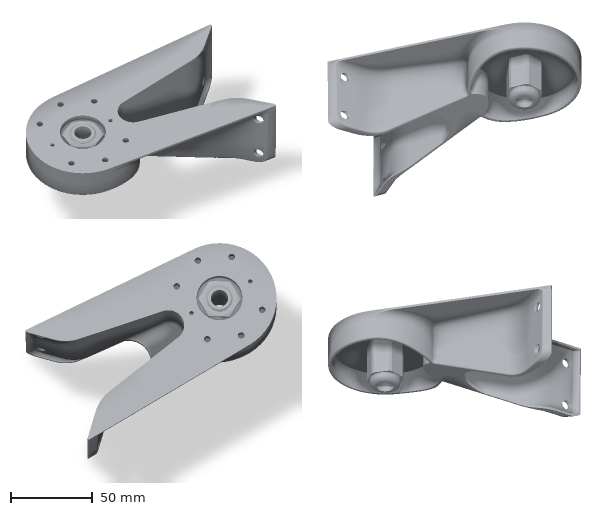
import cadquery as cq
import math

tip_half_width = 39.95
tip_y = 113.8
disc_radius = 35.0
disc_height = 19.6
total_height = 50.0
side_draft = 0.8
beyond = 29.8
far_out = 595.2

wall = 2.0
mount_wall = 4.6
mount_recess = 3.0
end_rib = 1.5
flange = 1.5
flange_fillet = 2.7
flange_root = flange + flange_fillet
plate = 6.0
bottom_fillet = 0.9
end_corner_fillet = 6.0
end_edge_fillet = 0.7
neck_fillet = 1.5
hollow_corner_fillet = 2.2

notch_radius = 9.7
notch_centre_y = 35.9
notch_lean = math.radians(10.1)
notch_flare_radius = 26.0
wall_flare_radius = 25.3
mount_line_y = 75.3

slope = math.radians(21.8)
slope_start_y = 10.9
slope_start_radius = 68.5
slope_end_radius = 29.8
web_edge_radius = 15.3
web_edge_y = 65.5
floor_fillet = 1.8

screw_diameter = 4.0
screw_circle_radius = 27.2
screw_angles = (0, 45, 135, 180, 225, 315)
pin_diameter = 2.7
pin_places_y = (-21.6, 19.6)
blind_depth = 4.5
mount_hole_width = 4.6
mount_hole_height = 6.1
mount_hole_x = 35.1
mount_hole_depths = (11.6, 41.4)

recess_diameter = 28.1
recess_depth = 3.4
bore_diameter = 10.5
tube_diameter = 16.0
tube_top = -0.5
tube_chamfer = 0.97
nut_flats = 22.5
nut_top = -1.6
nut_face_diameter = 21.3
nut_chamfer_height = 0.7
cap_flats = 20.5
cap_round_diameter = 22.6
cap_bottom = -29.3
dome_diameter = 19.0
dome_bottom = -34.4
dome_fillet = 3.4


def nearest(point):
    return cq.selectors.NearestToPointSelector(point)


def in_box(corner, opposite):
    return cq.selectors.BoxSelector(corner, opposite)


def everything_below(level):
    """Wide block below a level."""
    block = cq.Workplane("XY").rect(far_out, far_out).extrude(-total_height)
    return block.translate((0, 0, level))


def everything_behind(y):
    """Wide block on the +Y side of a place along Y."""
    block = cq.Workplane("XY").rect(far_out, far_out).extrude(-total_height)
    return block.translate((0, y + far_out / 2, 0))


def rod(diameter, bottom, top):
    """Upright cylinder on the disc axis."""
    return cq.Workplane("XY", origin=(0, 0, bottom)).circle(diameter / 2).extrude(top - bottom)


def hexagon(flats, bottom, top):
    """Upright hexagonal prism on the disc axis, with corners at +X and -X."""
    corner_diameter = flats / math.cos(math.pi / 6)
    return cq.Workplane("XY", origin=(0, 0, bottom)).polygon(6, corner_diameter).extrude(top - bottom)


def plan_outline(end_y):
    """Closed top outline: two straight sides tangent to the disc, cut off at end_y."""
    tip_angle = math.atan2(tip_y, tip_half_width)
    touch_angle = tip_angle - math.acos(disc_radius / math.hypot(tip_half_width, tip_y))
    touch_x = disc_radius * math.cos(touch_angle)
    touch_y = disc_radius * math.sin(touch_angle)
    end_x = touch_x + (end_y - touch_y) * (tip_half_width - touch_x) / (tip_y - touch_y)
    return (
        cq.Workplane("XY")
        .moveTo(-end_x, end_y)
        .lineTo(-touch_x, touch_y)
        .threePointArc((0, -disc_radius), (touch_x, touch_y))
        .lineTo(end_x, end_y)
        .close()
    )


def drafted_block(inset):
    """Drafted prism of the plan, inset all round, with rounded lower side edges, running past the tips."""
    outline = plan_outline(tip_y + beyond)
    if inset > 0:
        outline = outline.offset2D(-inset)
    block = outline.extrude(inset - total_height, taper=side_draft)
    side_edges = in_box((-far_out, 0, -total_height - 1.5), (far_out, tip_y, 0))
    return block.edges("<Z").edges("%LINE").edges(side_edges).fillet(end_corner_fillet - inset)


def flared_vee(side_offset, mount_offset, flare_radius):
    """Upright prism of the notch, grown by one offset on its sides and another on its 45 degree ends."""
    radius = notch_radius + side_offset
    apex_y = notch_centre_y - radius / math.sin(notch_lean)
    line_y = mount_line_y - mount_offset * math.sqrt(2)
    corner_y = (line_y - apex_y * math.tan(notch_lean)) / (1 - math.tan(notch_lean))
    corner_x = corner_y - line_y
    end_y = tip_y + beyond
    end_x = end_y - line_y
    right_side = [(corner_x, corner_y), (end_x, end_y)]
    left_side = [(-x, y) for x, y in reversed(right_side)]
    prism = (
        cq.Workplane("XY")
        .polyline([(0, apex_y)] + right_side + left_side)
        .close()
        .extrude(-total_height)
    )
    prism = prism.edges("|Z").edges("<Y").fillet(radius)
    flare_edges = in_box(
        (-corner_x - 1.5, corner_y - 1.5, -total_height),
        (corner_x + 1.5, corner_y + 1.5, 0),
    )
    return prism.edges("|Z").edges(flare_edges).fillet(flare_radius)


def above_underside(lift):
    """Everything above the sloping underside, raised by a vertical distance."""
    far = tip_y + beyond
    slope_end_y = slope_start_y + (total_height - disc_height) / math.tan(slope)
    high = lift - disc_height
    low = lift - total_height
    prism = (
        cq.Workplane("YZ")
        .polyline([(-far, 0), (-far, high), (slope_start_y, high), (slope_end_y, low), (far, low), (far, 0)])
        .close()
        .extrude(far, both=True)
    )
    prism = prism.edges("|X").edges(nearest((0, slope_start_y, high))).fillet(slope_start_radius)
    return prism.edges("|X").edges(nearest((0, slope_end_y, low))).fillet(slope_end_radius)


def outer_body():
    """Disc and arms as one filled block, with the flange overhanging its walls."""
    disc = cq.Workplane("XY").circle(disc_radius).extrude(-total_height)
    body = disc.union(flared_vee(wall, mount_wall, wall_flare_radius)).clean()
    neck = in_box((-disc_radius / 2, 0, -total_height), (disc_radius / 2, notch_centre_y, 0))
    body = body.edges("|Z").edges(neck).fillet(neck_fillet)
    body = body.intersect(above_underside(0))
    body = body.faces("<Z").edges("<X or >X").fillet(bottom_fillet)

    slab = cq.Workplane("XY").rect(far_out, far_out).extrude(-flange)
    inside = far_out / 2 - 1.5
    root_band = flange / 10
    root = in_box((-inside, -inside, -flange - root_band), (inside, inside, -flange + root_band))
    body = body.union(slab).edges(root).fillet(flange_fillet)
    body = body.intersect(drafted_block(0).union(disc))
    body = body.intersect(plan_outline(tip_y).extrude(-total_height))

    lower_space = everything_below(-flange_root)
    lower = body.intersect(lower_space)
    end_edge_x = tip_half_width - bottom_fillet
    end_edge_y = end_edge_x + mount_line_y - mount_wall * math.sqrt(2)
    for x in (-end_edge_x, end_edge_x):
        lower = lower.edges(nearest((x, end_edge_y, -total_height / 2))).fillet(end_edge_fillet)
    return body.cut(lower_space).union(lower)


def notch():
    """Opening between the arms: floored by the sloping web, and open below behind the web edge."""
    shape = flared_vee(0, 0, notch_flare_radius)
    floor_lift = wall / math.cos(slope)
    front_y = notch_centre_y - notch_radius
    front_z = floor_lift - disc_height - (front_y - slope_start_y) * math.tan(slope)
    pocket = shape.intersect(above_underside(floor_lift))
    pocket = pocket.edges(nearest((0, front_y, front_z))).fillet(floor_fillet)
    web_edge = cq.Workplane("XY").circle(web_edge_radius).extrude(-total_height)
    web_edge = web_edge.translate((0, web_edge_y, 0))
    open_space = web_edge.union(everything_behind(web_edge_y))
    return pocket.union(shape.intersect(open_space))


def disc_hollow():
    """Space under the disc, bounded by its rim and by the wall around the notch."""
    room = rod(2 * (disc_radius - wall), -total_height, -plate)
    room = room.cut(flared_vee(wall, mount_wall, wall_flare_radius))
    corners = in_box((-disc_radius / 2, 0, -total_height), (disc_radius / 2, notch_centre_y, 0))
    return room.edges("|Z").edges(corners).fillet(hollow_corner_fillet)


def mount_recesses():
    """Thins the 45 degree end walls from inside, under the flange and short of the end and bottom ribs."""
    recess = flared_vee(0, mount_recess, wall_flare_radius)
    recess = recess.intersect(drafted_block(end_rib))
    return recess.intersect(everything_below(-flange)).intersect(everything_behind(web_edge_y))


def blind_holes():
    """Six screw holes on one circle and two pin holes, all of one depth."""
    screw_places = [
        (
            screw_circle_radius * math.cos(math.radians(angle)),
            screw_circle_radius * math.sin(math.radians(angle)),
        )
        for angle in screw_angles
    ]
    pin_places = [(0, y) for y in pin_places_y]
    screws = cq.Workplane("XY").pushPoints(screw_places).circle(screw_diameter / 2).extrude(-blind_depth)
    pins = cq.Workplane("XY").pushPoints(pin_places).circle(pin_diameter / 2).extrude(-blind_depth)
    return screws.union(pins)


def mount_holes():
    """Two upright oval holes through each 45 degree end wall, running along Y."""
    places = [(x, -depth) for x in (-mount_hole_x, mount_hole_x) for depth in mount_hole_depths]
    return (
        cq.Workplane("XZ", origin=(0, web_edge_y, 0))
        .pushPoints(places)
        .ellipse(mount_hole_width / 2, mount_hole_height / 2)
        .extrude(-tip_y)
    )


def gland():
    """Cable gland: lock nut and tube in the recess, cap and dome below the plate."""
    nut_corner_diameter = nut_flats / math.cos(math.pi / 6)
    crown_width = (nut_corner_diameter - nut_face_diameter) / 2
    crown = rod(nut_corner_diameter, -recess_depth, nut_top)
    crown = crown.faces(">Z").chamfer(nut_chamfer_height, crown_width)
    nut = hexagon(nut_flats, -recess_depth, nut_top).intersect(crown)
    tube = rod(tube_diameter, -recess_depth, tube_top).faces(">Z").chamfer(tube_chamfer)
    cap = hexagon(cap_flats, cap_bottom, -plate).rotate((0, 0, 0), (0, 0, 1), 90)
    cap = cap.intersect(rod(cap_round_diameter, cap_bottom, -plate))
    dome = rod(dome_diameter, dome_bottom, cap_bottom).faces("<Z").edges().fillet(dome_fillet)
    return nut.union(tube).union(cap).union(dome)


bracket = outer_body().cut(notch()).cut(disc_hollow()).cut(mount_recesses())
bracket = bracket.cut(rod(recess_diameter, -recess_depth, 0)).cut(blind_holes()).cut(mount_holes())
result = bracket.union(gland()).cut(rod(bore_diameter, dome_bottom, 0))